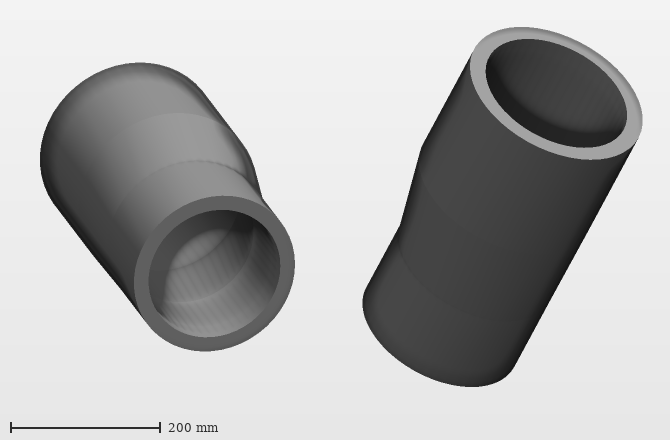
import cadquery as cq

total_length = 440.0
large_length = 180.0
small_length = 125.0
taper_length = total_length - large_length - small_length

large_outer_diameter = 250.0
large_bore_diameter = 204.5
small_outer_diameter = 225.0
small_bore_diameter = 184.0

small_end_y = -(large_outer_diameter - small_outer_diameter) / 2

taper_start_x = large_length
taper_end_x = large_length + taper_length


def cylinder_along_x(start_x, length, center_y, diameter):
    """Straight round section running toward +X."""
    return (
        cq.Workplane("YZ", origin=(start_x, center_y, 0))
        .circle(diameter / 2)
        .extrude(length)
    )


def stepped_body(large_diameter, small_diameter):
    """Large cylinder, offset taper and small cylinder as one solid."""
    large_end = cylinder_along_x(0, large_length, 0, large_diameter)
    taper = (
        cq.Workplane("YZ", origin=(taper_start_x, 0, 0))
        .circle(large_diameter / 2)
        .workplane(offset=taper_length)
        .center(small_end_y, 0)
        .circle(small_diameter / 2)
        .loft(ruled=True)
    )
    small_end = cylinder_along_x(taper_end_x, small_length, small_end_y, small_diameter)
    return large_end.union(taper).union(small_end)


outer_body = stepped_body(large_outer_diameter, small_outer_diameter)
bore = stepped_body(large_bore_diameter, small_bore_diameter)
result = outer_body.cut(bore)